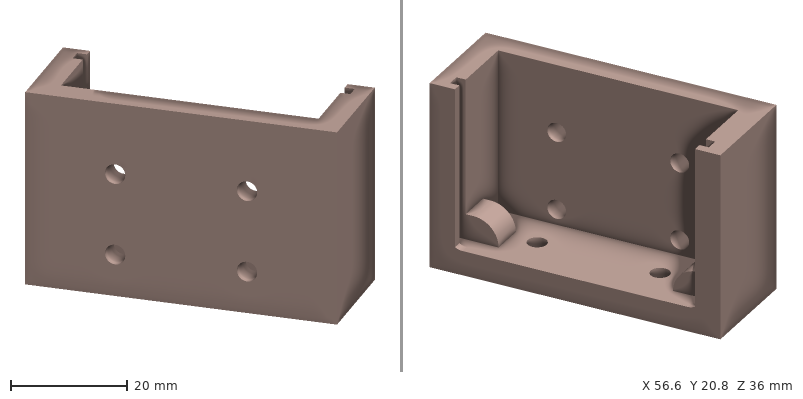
import cadquery as cq
import math

width = 56.6
depth = 20.8
height = 36.0

side_wall = 4.9
front_wall = 4.75
floor_thickness = 4.75
cavity_half_width = width / 2 - side_wall

lip_thickness = 1.65
slot_thickness = 2.4
slot_depth = 1.8
slot_back = depth - lip_thickness
slot_front = slot_back - slot_thickness

block_front = 10.35
block_flat = 1.45
block_radius = 4.9

lip_blend_width = block_flat
lip_blend_radius = 2 * lip_blend_width
lip_blend_height = lip_blend_radius - math.sqrt(lip_blend_radius**2 - lip_blend_width**2)

hole_diameter = 3.7
hole_spacing_x = 23.95
hole_x_positions = (-hole_spacing_x / 2, hole_spacing_x / 2)
floor_hole_y = 12.0
lower_hole_z = 7.75
hole_spacing_z = 15.05


def box(x_min, x_max, y_min, y_max, z_min, z_max):
    """Box between two opposite corners."""
    size = (x_max - x_min, y_max - y_min, z_max - z_min)
    return cq.Workplane("XY").box(*size, centered=False).translate((x_min, y_min, z_min))


def profile_plane(y_back):
    """XZ plane at the left inner floor corner; extrusion runs toward the front."""
    return cq.Workplane("XZ", origin=(-cavity_half_width, y_back, floor_thickness))


def corner_block():
    """Left corner block: a short flat top followed by a convex quarter round."""
    return (
        profile_plane(slot_front)
        .lineTo(0, block_radius)
        .lineTo(block_flat, block_radius)
        .radiusArc((block_flat + block_radius, 0), block_radius)
        .close()
        .extrude(slot_front - block_front)
    )


def lip_blend():
    """Left concave ramp at the foot of the rear lip."""
    return (
        profile_plane(depth)
        .lineTo(0, lip_blend_height)
        .radiusArc((lip_blend_width, 0), -lip_blend_radius)
        .close()
        .extrude(lip_thickness)
    )


body = box(-width / 2, width / 2, 0, depth, 0, height)
cavity = box(-cavity_half_width, cavity_half_width, front_wall, depth, floor_thickness, height)
slot_half_width = cavity_half_width + slot_depth
slots = box(-slot_half_width, slot_half_width, slot_front, slot_back, floor_thickness, height)
body = body.cut(cavity).cut(slots)

for detail in (corner_block(), lip_blend()):
    body = body.union(detail).union(detail.mirror("YZ"))

for x in hole_x_positions:
    floor_hole = cq.Workplane("XY", origin=(x, floor_hole_y, 0)).circle(hole_diameter / 2)
    body = body.cut(floor_hole.extrude(floor_thickness))
    for z in (lower_hole_z, lower_hole_z + hole_spacing_z):
        wall_hole = cq.Workplane("XZ", origin=(x, 0, z)).circle(hole_diameter / 2)
        body = body.cut(wall_hole.extrude(-front_wall))

result = body